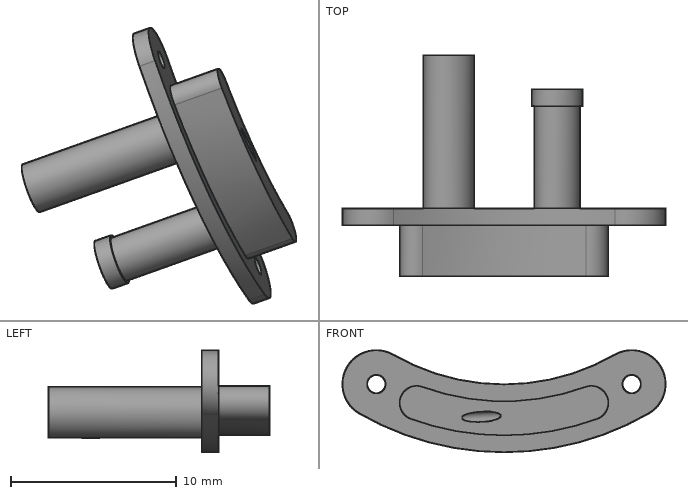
import cadquery as cq
import math

overall_length = 19.57
lobe_radius = overall_length / 9.5
plate_half_angle = 30.0
hole_half_spacing = overall_length / 2 - lobe_radius
pitch_radius = hole_half_spacing / math.sin(math.radians(plate_half_angle))
arc_center_z = pitch_radius * math.cos(math.radians(plate_half_angle))

plate_thickness = lobe_radius / 2
screw_hole_diameter = 1.1

block_half_width = lobe_radius / 2
block_half_angle = 20.0
block_depth = 3 * plate_thickness

pin_diameter = 3.1
long_pin_angle = -12.5
long_pin_length = 9 * plate_thickness
collar_pin_angle = 12.0
collar_pin_diameter = 2.78
collar_pin_length = 7 * plate_thickness
collar_height = plate_thickness

duct_diameter = 0.63
duct_mouth_x = -1.37
duct_mouth_z = -1.98
duct_tilt = 74.6


def pitch_point(angle, offset=0.0):
    """(x, z) at an angle from straight down, offset outward from the pitch arc."""
    radius = pitch_radius + offset
    turn = math.radians(angle)
    return radius * math.sin(turn), arc_center_z - radius * math.cos(turn)


def curved_slot(half_angle, half_width, y_start, depth):
    """Round-ended band along the pitch arc, extruded toward -Y from y_start."""
    end_center = pitch_point(half_angle)
    tip_turn = math.radians(half_angle)
    tip_x = end_center[0] + half_width * math.cos(tip_turn)
    tip_z = end_center[1] + half_width * math.sin(tip_turn)
    return (
        cq.Workplane("XZ", origin=(0, y_start, 0))
        .moveTo(*pitch_point(-half_angle, half_width))
        .threePointArc(pitch_point(0, half_width), pitch_point(half_angle, half_width))
        .threePointArc((tip_x, tip_z), pitch_point(half_angle, -half_width))
        .threePointArc(pitch_point(0, -half_width), pitch_point(-half_angle, -half_width))
        .threePointArc((-tip_x, tip_z), pitch_point(-half_angle, half_width))
        .close()
        .extrude(depth)
    )


def cylinder_along_y(center, diameter, y_start, y_end):
    """Cylinder parallel to Y around an (x, z) center."""
    x, z = center
    base = cq.Vector(x, y_start, z)
    return cq.Solid.makeCylinder(diameter / 2, y_end - y_start, base, cq.Vector(0, 1, 0))


def slanted_duct():
    """Duct running back and sideways from its mouth to the collar pin axis."""
    pin_x, pin_z = pitch_point(collar_pin_angle)
    run_x = pin_x - duct_mouth_x
    run_z = pin_z - duct_mouth_z
    run_y = math.hypot(run_x, run_z) / math.tan(math.radians(duct_tilt))
    axis = cq.Vector(run_x, run_y, run_z)
    mouth = cq.Vector(duct_mouth_x, -block_depth, duct_mouth_z)
    return cq.Solid.makeCylinder(duct_diameter / 2, 2 * axis.Length, mouth - axis, axis)


plate = curved_slot(plate_half_angle, lobe_radius, plate_thickness, plate_thickness)
block = curved_slot(block_half_angle, block_half_width, 0, block_depth)
body = plate.union(block)

long_pin_end = plate_thickness + long_pin_length
body = body.union(cylinder_along_y(pitch_point(long_pin_angle), pin_diameter, 0, long_pin_end))

collar_end = plate_thickness + collar_pin_length
collar_start = collar_end - collar_height
collar_center = pitch_point(collar_pin_angle)
body = body.union(cylinder_along_y(collar_center, collar_pin_diameter, 0, collar_end))
body = body.union(cylinder_along_y(collar_center, pin_diameter, collar_start, collar_end))

for side in (-1, 1):
    lobe_center = pitch_point(side * plate_half_angle)
    body = body.cut(cylinder_along_y(lobe_center, screw_hole_diameter, 0, plate_thickness))

result = body.cut(slanted_duct())